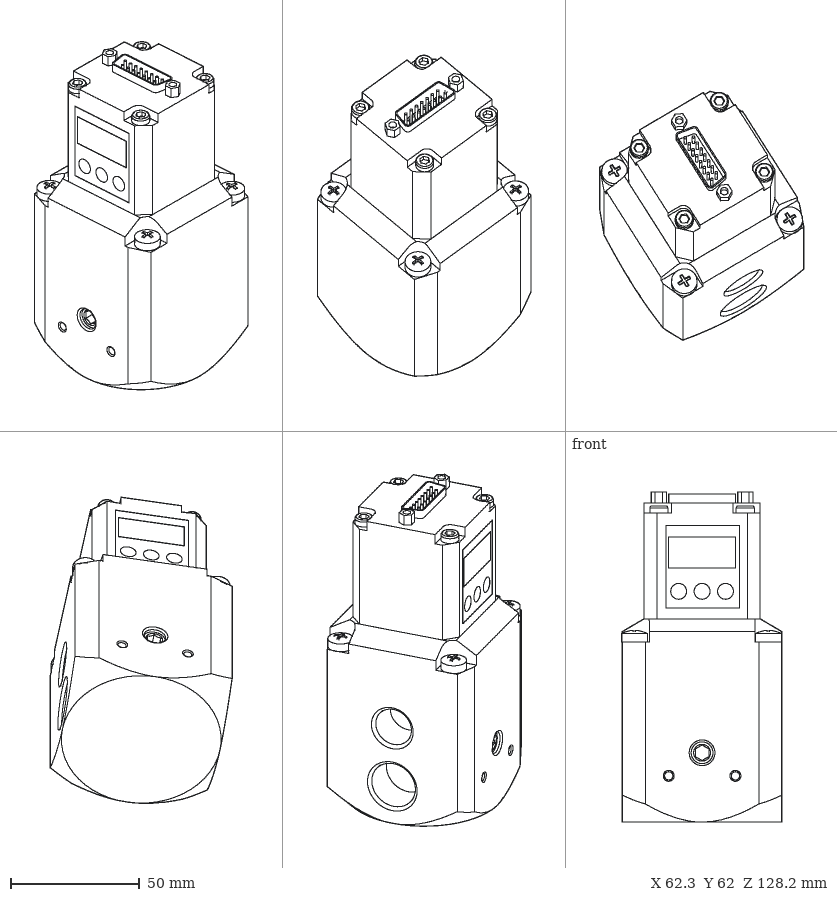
import cadquery as cq
import math

body_width = 62.0
body_half = body_width / 2
body_corner_x = 22.0
body_corner_y = 27.5
shoulder_z = 74.0
body_top_z = 79.0

pocket_x = 26.0
pocket_y = 24.0
pocket_radius = 5.5
pocket_floor_z = 69.9

port_depth = 15.4
port_chamfer = 1.3
exhaust_port_z = 41.2
exhaust_port_diameter = 15.1
inlet_port_z = 16.0
inlet_port_diameter = 18.5

plug_z = 26.9
plug_hole_diameter = 8.5
plug_hole_chamfer = 0.8
plug_recess = 1.9
plug_socket_mouth_diameter = 6.5
plug_socket_corners = 6.0
plug_socket_depth = 3.8
mount_hole_x = 13.0
mount_hole_z = 18
mount_hole_diameter = 3.2
mount_hole_chamfer = 0.5
mount_hole_depth = 6.4
drill_tip_angle = 118

box_width = 45.1
box_half = box_width / 2
box_chamfer = 5.0
box_top_z = 124.0

cap_x = 16.8
cap_y = 18.2
recess_inner_x = 11.9
recess_inner_y = 14.5
recess_corner_radius = 3.1
recess_floor_z = 120.0
cap_diameter = 7.0
cap_height = 2.8
cap_edge_radial = 0.4
cap_edge_height = 0.8
cap_socket_corners = 4.0
cap_socket_depth = 1.9

panel_width = 28.7
panel_shift_x = 0.3
panel_bottom_z = 83.2
panel_top_z = 115.1
panel_depth = 0.1
window_width = 26.0
window_bottom_z = 98.6
window_top_z = 110.8
window_depth = 0.1
button_diameter = 6.2
button_height = 0.9
button_pitch = 9.1
button_z = 89.6

shell_top_z = 127.4
shell_half_width = 13.3
shell_height = 9
shell_side_angle = 10
shell_corner_radius = 1.5
shell_wall = 0.5
cavity_depth = 8.3
pin_diameter = 1.0
pin_pitch = 2.8
pin_row_offset = 1.4
pin_top_z = 126.8
long_row_pins = 8
short_row_pins = 7

standoff_x = 16.8
standoff_top_z = 128.2
standoff_corners = 6.0
standoff_hole_diameter = 3.0
standoff_hole_depth = 3.2

screw_shift_x = -0.3
screw_diameter = 10.0
screw_rim_height = 3.3
screw_height = 4.6
cross_length = 5.0
cross_width = 1.0
cross_depth = 1.3

HEX_SIDES = 6
SIDES = (-1, 1)
CORNERS = [(-1, -1), (-1, 1), (1, -1), (1, 1)]


def block(x0, x1, y0, y1, z0, z1):
    """Box between two opposite corners."""
    return cq.Workplane().box(x1 - x0, y1 - y0, z1 - z0, centered=False).translate((x0, y0, z0))


def dome(diameter, height):
    """Spherical cap standing on the XY plane."""
    radius = diameter / 2
    sphere_radius = (radius**2 + height**2) / (2 * height)
    sphere = cq.Workplane("XZ").sphere(sphere_radius).translate((0, 0, height - sphere_radius))
    return sphere.intersect(cq.Workplane().circle(radius).extrude(height))


def pointed_cone(radius, depth):
    """Cone with its base at the origin and its point along -Z."""
    return cq.Workplane(obj=cq.Solid.makeCone(radius, 0, depth, cq.Vector(), cq.Vector(0, 0, -1)))


def chamfered_bore(diameter, depth, chamfer):
    """Tool for a flat-bottomed bore along -Z from the origin, with a 45 degree mouth."""
    radius = diameter / 2
    outline = [(0, 0), (radius + chamfer, 0), (radius, -chamfer), (radius, -depth), (0, -depth)]
    return cq.Workplane("XZ").polyline(outline).close().revolve(360, (0, 0), (0, 1))


def drilled_hole(diameter, depth, chamfer):
    """Chamfered bore that ends in a conical drill tip."""
    radius = diameter / 2
    tip = radius / math.tan(math.radians(drill_tip_angle / 2))
    return chamfered_bore(diameter, depth, chamfer).union(pointed_cone(radius, tip).translate((0, 0, -depth)))


def facing_front(tool, x, z):
    """Turn a tool that enters along -Z so that it enters the front face at (x, z)."""
    return tool.rotate((0, 0, 0), (1, 0, 0), 90).translate((x, -body_half, z))


def mirrored_to(shape, side_x, side_y):
    """Mirror a shape built in the +X +Y quarter into another quarter."""
    if side_x < 0:
        shape = shape.mirror("YZ")
    if side_y < 0:
        shape = shape.mirror("XZ")
    return shape


def screw_pocket(side_x, side_y):
    """Open corner pocket whose inner corner is rounded about the pocket centre."""
    x, y = pocket_x, pocket_y
    inner_x, inner_y = x - pocket_radius, y - pocket_radius
    diagonal = pocket_radius * math.sqrt(0.5)
    pocket = (
        cq.Workplane("XY", origin=(0, 0, pocket_floor_z))
        .moveTo(body_width, inner_y)
        .lineTo(x, inner_y)
        .threePointArc((x - diagonal, y - diagonal), (inner_x, y))
        .lineTo(inner_x, body_width)
        .lineTo(body_width, body_width)
        .close()
        .extrude(body_top_z - pocket_floor_z)
    )
    return mirrored_to(pocket, side_x, side_y)


def body_block():
    """Chamfered square column with a sloped shoulder around the foot of the control box."""
    outline = [(body_half, body_corner_y), (body_corner_x, body_half)]
    outline += [(-x, y) for x, y in reversed(outline)]
    outline += [(-x, -y) for x, y in outline]
    column = cq.Workplane().polyline(outline).close().extrude(body_top_z)

    slope_height = body_top_z - shoulder_z
    slope_angle = math.degrees(math.atan((body_half - box_half) / slope_height))
    envelope = block(-body_half, body_half, -body_half, body_half, 0, shoulder_z)
    shoulder = envelope.faces(">Z").wires().toPending().extrude(slope_height, taper=slope_angle, combine=False)
    return column.intersect(envelope.union(shoulder))


def bottom_cone():
    """45 degree cone that trims the bottom corners down to a round foot."""
    return cq.Workplane(obj=cq.Solid.makeCone(body_half, body_half + body_top_z, body_top_z))


def side_port(diameter, z):
    """Blind chamfered port in the -X face."""
    port = chamfered_bore(diameter, port_depth, port_chamfer).rotate((0, 0, 0), (0, 1, 0), -90)
    return port.translate((-body_half, 0, z))


def plug_socket():
    """Hexagon socket with a countersunk mouth, corners pointing up and down."""
    socket = cq.Workplane().polygon(HEX_SIDES, plug_socket_corners).extrude(-plug_socket_depth)
    socket = socket.rotate((0, 0, 0), (0, 0, 1), 90)
    mouth_radius = plug_socket_mouth_diameter / 2
    socket = socket.union(pointed_cone(mouth_radius, mouth_radius))
    return socket.translate((0, 0, -plug_recess))


def make_valve_body():
    body = body_block().intersect(bottom_cone())
    for side_x, side_y in CORNERS:
        body = body.cut(screw_pocket(side_x, side_y))
    body = body.cut(side_port(exhaust_port_diameter, exhaust_port_z))
    body = body.cut(side_port(inlet_port_diameter, inlet_port_z))

    plug_mouth = chamfered_bore(plug_hole_diameter, plug_recess, plug_hole_chamfer)
    body = body.cut(facing_front(plug_mouth, 0, plug_z))
    body = body.cut(facing_front(plug_socket(), 0, plug_z))

    for side in SIDES:
        hole = drilled_hole(mount_hole_diameter, mount_hole_depth, mount_hole_chamfer)
        body = body.cut(facing_front(hole, side * mount_hole_x, mount_hole_z))
    return body


def cap_recess(side_x, side_y):
    """Corner recess around a cap screw head."""
    recess = block(recess_inner_x, box_width, recess_inner_y, box_width, recess_floor_z, box_top_z)
    recess = recess.edges("|Z and <X and <Y").fillet(recess_corner_radius)
    return mirrored_to(recess, side_x, side_y)


def cap_head():
    """Socket head with a bevelled top edge."""
    head = cq.Workplane().circle(cap_diameter / 2).extrude(cap_height)
    head = head.faces(">Z").chamfer(cap_edge_height, cap_edge_radial)
    socket = cq.Workplane("XY", origin=(0, 0, cap_height)).polygon(HEX_SIDES, cap_socket_corners)
    return head.cut(socket.extrude(-cap_socket_depth))


def front_recess(width, z0, z1, y, depth):
    """Rectangular tool sunk into a face that looks toward -Y."""
    return block(-width / 2, width / 2, y, y + depth, z0, z1)


def add_panel(box):
    """Sink the panel and its window into the front face and add the domed buttons."""
    panel_y = -box_half + panel_depth
    frame = front_recess(panel_width, panel_bottom_z, panel_top_z, -box_half, panel_depth)
    box = box.cut(frame.translate((panel_shift_x, 0, 0)))
    box = box.cut(front_recess(window_width, window_bottom_z, window_top_z, panel_y, window_depth))
    for i in (-1, 0, 1):
        button = dome(button_diameter, button_height).rotate((0, 0, 0), (1, 0, 0), 90)
        box = box.union(button.translate((i * button_pitch, panel_y, button_z)))
    return box


def add_connector(box):
    """Add a hollow D-shaped shell with two rows of pins to the box top."""
    half_height = shell_height / 2
    inset = shell_height * math.tan(math.radians(shell_side_angle))
    narrow = shell_half_width - inset
    outline = [
        (-shell_half_width, half_height),
        (shell_half_width, half_height),
        (narrow, -half_height),
        (-narrow, -half_height),
    ]
    height = shell_top_z - box_top_z
    floor_z = shell_top_z - cavity_depth
    shell = cq.Workplane("XY", origin=(0, 0, box_top_z)).polyline(outline).close().extrude(height)
    shell = shell.edges("|Z").fillet(shell_corner_radius)
    rim = shell.faces(">Z").wires().toPending()
    cavity = rim.offset2D(-shell_wall).extrude(-cavity_depth, combine=False)
    box = box.union(shell).cut(cavity)
    floor = cq.Workplane("XY", origin=(0, 0, floor_z))
    for count, y in ((long_row_pins, pin_row_offset), (short_row_pins, -pin_row_offset)):
        pins = floor.center(0, y).rarray(pin_pitch, 1.3, count, 1).circle(pin_diameter / 2)
        box = box.union(pins.extrude(pin_top_z - floor_z))
    return box


def standoff():
    """Hexagonal post with a blind hole in its top."""
    height = standoff_top_z - box_top_z
    post = cq.Workplane().polygon(HEX_SIDES, standoff_corners).extrude(height)
    return post.faces(">Z").workplane().hole(standoff_hole_diameter, standoff_hole_depth)


def make_control_box():
    box = block(-box_half, box_half, -box_half, box_half, body_top_z, box_top_z)
    box = box.edges("|Z").chamfer(box_chamfer)
    for side_x, side_y in CORNERS:
        box = box.cut(cap_recess(side_x, side_y))
        box = box.union(cap_head().translate((side_x * cap_x, side_y * cap_y, recess_floor_z)))
    box = add_panel(box)
    box = add_connector(box)
    for side in SIDES:
        box = box.union(standoff().translate((side * standoff_x, 0, box_top_z)))
    return box


def make_screw(side_x, side_y):
    """Domed screw head with a cross slot, resting on the floor of a corner pocket."""
    head = cq.Workplane().circle(screw_diameter / 2).extrude(screw_rim_height)
    crown = dome(screw_diameter, screw_height - screw_rim_height)
    head = head.union(crown.translate((0, 0, screw_rim_height)))
    for length, width in ((cross_length, cross_width), (cross_width, cross_length)):
        slot = cq.Workplane("XY", origin=(0, 0, screw_height)).rect(length, width).extrude(-cross_depth)
        head = head.cut(slot)
    return head.translate((side_x * pocket_x + screw_shift_x, side_y * pocket_y, pocket_floor_z))


valve_body = make_valve_body()
control_box = make_control_box()
screws = [make_screw(side_x, side_y) for side_x, side_y in CORNERS]

result = cq.Compound.makeCompound(
    [valve_body.val(), control_box.val(), *[screw.val() for screw in screws]]
)